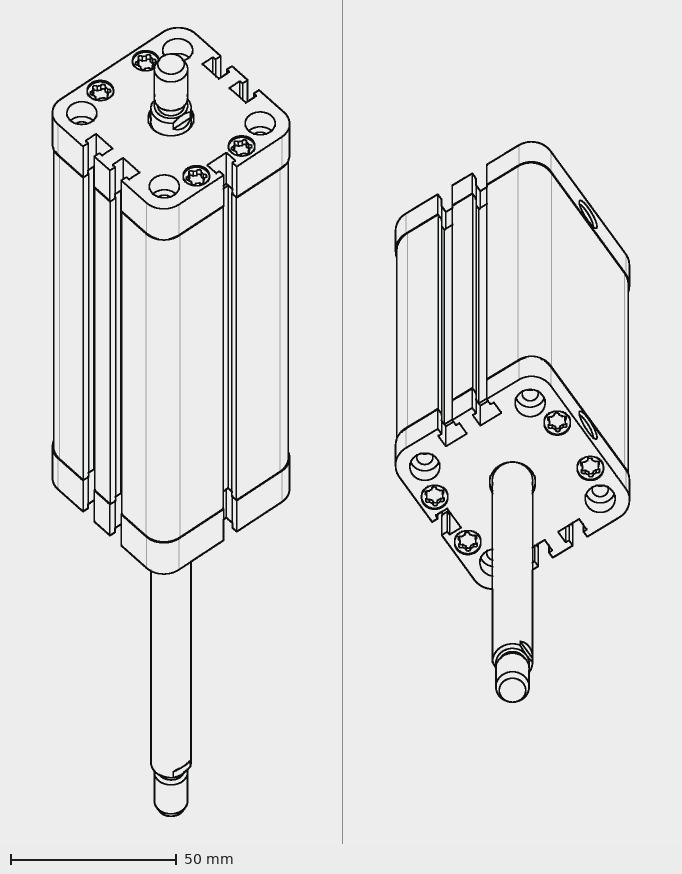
import cadquery as cq

cap_width = 54.8
tube_width = 54.5
cap_corner_radius = 7.0
tube_corner_radius = 7.3
housing_length = 170.7
cap_height = 14.5
housing_top = 148.0
tube_length = housing_length - 2 * cap_height
tube_top = housing_top - cap_height
tube_bottom = tube_top - tube_length

slot_offset = 6.2
slot_neck_width = 5.2
slot_width = 7.5
slot_lip = 2.0
cap_slot_depth = 6.2
tube_slot_depth = 5.2

total_length = 347.0
rod_diameter = 12.0
rod_top = total_length / 2

thread_diameter = 10.0
thread_length = 16.0
tip_diameter = 8.0
tip_chamfer_length = 2.5
undercut_diameter = 8.0
undercut_taper = 1.0
undercut_length = 3.5
shoulder_chamfer = 1.0
flat_width = 10.0
flat_length = 3.8

recess_diameter = 14.0
recess_depth = 1.7

mount_spacing = 38.0
mount_bore_diameter = 9.0
mount_bore_depth = 7.0
mount_hole_diameter = 5.0

screw_spacing_x = 44.5
screw_spacing_y = 18.0
screw_recess_diameter = 8.0
screw_recess_depth = 0.7
socket_core_diameter = 5.0
socket_lobe_diameter = 1.5
socket_depth = 2.0

port_diameter = 8.0
port_mouth_diameter = 9.7
port_depth = 10.5
port_inset = 8.7


def slot_cutter(side_width, offset, depth, length):
    """T-slot opening on the -Y side of a bar of the given width."""
    outer_face = -side_width / 2
    neck = (
        cq.Workplane("XY")
        .center(offset, outer_face + depth / 2)
        .rect(slot_neck_width, depth)
        .extrude(length)
    )
    chamber_depth = depth - slot_lip
    chamber = (
        cq.Workplane("XY")
        .center(offset, outer_face + slot_lip + chamber_depth / 2)
        .rect(slot_width, chamber_depth)
        .extrude(length)
    )
    return neck.union(chamber)


def slotted_bar(width, corner_radius, slot_depth, length):
    """Square bar standing on Z = 0, with rounded corners, T-slots and a bore for the rod."""
    bar = (
        cq.Workplane("XY")
        .box(width, width, length, centered=(True, True, False))
        .edges("|Z")
        .fillet(corner_radius)
    )
    slots = [(0, -slot_offset), (0, slot_offset), (180, -slot_offset), (180, slot_offset), (90, 0)]
    for side_angle, offset in slots:
        slot = slot_cutter(width, offset, slot_depth, length)
        bar = bar.cut(slot.rotate((0, 0, 0), (0, 0, 1), side_angle))
    bore = cq.Workplane("XY").circle(rod_diameter / 2).extrude(length)
    return bar.cut(bore)


def profile_tube():
    tube_bar = slotted_bar(tube_width, tube_corner_radius, tube_slot_depth, tube_length)
    return tube_bar.translate((0, 0, tube_bottom))


def below_cap_face(depth=0):
    """Workplane parallel to the outer cap face and this far below it."""
    return cq.Workplane("XY", origin=(0, 0, cap_height - depth))


def mounting_holes():
    """Cutter for the four counterbored corner holes."""
    bores = (
        below_cap_face()
        .rect(mount_spacing, mount_spacing, forConstruction=True)
        .vertices()
        .circle(mount_bore_diameter / 2)
        .extrude(-mount_bore_depth)
    )
    holes = (
        below_cap_face()
        .rect(mount_spacing, mount_spacing, forConstruction=True)
        .vertices()
        .circle(mount_hole_diameter / 2)
        .extrude(-cap_height)
    )
    return bores.union(holes)


def screw_socket():
    """Cutter for one round recess with a six-lobed socket in its floor."""
    recess = below_cap_face().circle(screw_recess_diameter / 2).extrude(-screw_recess_depth)
    core = below_cap_face(screw_recess_depth).circle(socket_core_diameter / 2).extrude(-socket_depth)
    lobes = (
        below_cap_face(screw_recess_depth)
        .polarArray(socket_core_diameter / 2, 0, 360, 6)
        .circle(socket_lobe_diameter / 2)
        .extrude(-socket_depth)
    )
    return recess.union(core).union(lobes)


def air_port():
    """Cutter for the port in the -X side."""
    port_axis = cq.Workplane("YZ", origin=(-cap_width / 2, 0, cap_height - port_inset))
    bore = port_axis.circle(port_diameter / 2).extrude(port_depth)
    mouth_chamfer = (port_mouth_diameter - port_diameter) / 2
    mouth = port_axis.circle(port_mouth_diameter / 2).extrude(mouth_chamfer, taper=45)
    return bore.union(mouth)


def end_cap():
    """End cap standing on Z = 0 with its outer face at Z = cap_height."""
    cap = slotted_bar(cap_width, cap_corner_radius, cap_slot_depth, cap_height)
    cap = cap.cut(below_cap_face().circle(recess_diameter / 2).extrude(-recess_depth))
    cap = cap.cut(mounting_holes())
    for x in (-screw_spacing_x / 2, screw_spacing_x / 2):
        for y in (-screw_spacing_y / 2, screw_spacing_y / 2):
            cap = cap.cut(screw_socket().translate((x, y, 0)))
    return cap.cut(air_port())


def wrench_flats(shoulder):
    """Cutter for the flats on the +X and -X sides, sloping out at 45 degrees at their ends."""
    rod_radius = rod_diameter / 2
    flat_end = shoulder - flat_length
    slope = rod_radius - flat_width / 2
    flat = (
        cq.Workplane("XZ")
        .moveTo(flat_width / 2, shoulder)
        .lineTo(flat_width / 2, flat_end)
        .lineTo(rod_radius, flat_end - slope)
        .lineTo(rod_radius, shoulder)
        .close()
        .extrude(rod_radius, both=True)
    )
    return flat.union(flat.mirror("YZ"))


def rod_half():
    """Upper half of the rod, from the middle of its length to its tip."""
    thread_end = rod_top - thread_length
    shoulder = thread_end - undercut_length
    half = (
        cq.Workplane("XZ")
        .moveTo(0, 0)
        .lineTo(0, rod_top)
        .lineTo(tip_diameter / 2, rod_top)
        .lineTo(thread_diameter / 2, rod_top - tip_chamfer_length)
        .lineTo(thread_diameter / 2, thread_end)
        .lineTo(undercut_diameter / 2, thread_end - undercut_taper)
        .lineTo(undercut_diameter / 2, shoulder)
        .lineTo(rod_diameter / 2 - shoulder_chamfer, shoulder)
        .lineTo(rod_diameter / 2, shoulder - shoulder_chamfer)
        .lineTo(rod_diameter / 2, 0)
        .close()
        .revolve(360, (0, 0, 0), (0, 1, 0))
    )
    return half.cut(wrench_flats(shoulder))


def piston_rod():
    upper_half = rod_half()
    return upper_half.union(upper_half.mirror("XY")).clean()


tube = profile_tube()
upper_cap = end_cap().translate((0, 0, tube_top))
lower_cap = end_cap().mirror("XY").translate((0, 0, tube_bottom))
rod = piston_rod()

result = cq.Compound.makeCompound([
    *tube.solids().vals(),
    *upper_cap.solids().vals(),
    *lower_cap.solids().vals(),
    *rod.solids().vals(),
])